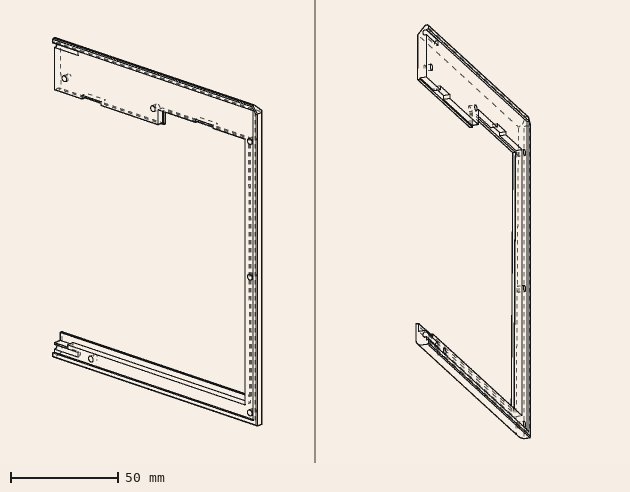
import cadquery as cq

width = 129.0
height = 159.5
back_y_top = 5.5
back_y_bottom = 6.4

top_flat = 1.6
top_bevel_drop = 4.3
bottom_round = 2.7
side_bevel = 2.9
corner_cut_x = 2.9
corner_cut_z = 3.5
rim_chamfer = 0.5

rim_width = 2.2
face_y = 1.1

rail_top_z = 11.0
block_bottom_z = 132.9
block_right_x = 66.2
window_top_z = 139.9
window_right_x = 120.0

lip_thickness = 1.3
side_lip = 0.6
window_lip = 1.1
rail_lip = 2.9
rail_notch_length = 8.3
rail_notch_depth = 1.1
block_notch_start, block_notch_end, block_notch_top = 17.5, 29.5, 135.5
window_notch_start, window_notch_end, window_notch_top = 89.3, 100.3, 142.6

hole_diameter = 2.9
hole_depth = 3.2
low_hole_z = 5.0
high_hole_z = 140.7
side_hole_x = 123.6
block_hole_xs = (6.4, 62.4)
rail_hole_x = 23.1
groove_diameter = 2.5
groove_length = 14.8
groove_axis_y = 1.6
groove_zs = (5.0, 155.9)


def front_box(x0, x1, z0, z1, y0, y1):
    """Axis-aligned box given by its limits."""
    return cq.Workplane("XY").box(x1 - x0, y1 - y0, z1 - z0, centered=False).translate((x0, y0, z0))


def back_y(z, offset=0.0):
    """Y of the leaning back face at height z, moved forward by offset."""
    return back_y_bottom + (back_y_top - back_y_bottom) * z / height - offset


def make_slab():
    """Solid slab with a leaning back and shaped outer edges."""
    bevel_z = height - top_bevel_drop
    slab = (
        cq.Workplane("YZ")
        .moveTo(0, 0)
        .lineTo(back_y(0), 0)
        .lineTo(back_y(bevel_z), bevel_z)
        .lineTo(top_flat, height)
        .lineTo(0, height)
        .close()
        .extrude(width)
    )
    slab = slab.edges("|X").edges("<Z").edges(">Y").fillet(bottom_round)
    bevel = (
        cq.Workplane("XY")
        .polyline([
            (width - side_bevel, back_y_bottom),
            (width, back_y_bottom - side_bevel),
            (width, back_y_bottom),
        ])
        .close()
        .extrude(height)
    )
    corner = (
        cq.Workplane("XZ")
        .polyline([
            (width - corner_cut_x, height),
            (width, height),
            (width, height - corner_cut_z),
        ])
        .close()
        .extrude(-back_y_bottom)
    )
    slab = slab.cut(bevel).cut(corner)
    return slab.faces("<Y").edges("not <X").chamfer(rim_chamfer)


def make_ledge_cutter():
    """Material removed in front of the rear lip, down to a floor parallel to the back."""
    inner_right = window_right_x + side_lip
    block_edge_z = block_bottom_z + side_lip
    rail_floor_z = rail_top_z - rail_lip
    areas = [
        (0, inner_right, rail_floor_z, block_edge_z),
        (block_right_x - side_lip, inner_right, rail_floor_z, window_top_z + window_lip),
        (0, rail_notch_length, rail_floor_z - rail_notch_depth, rail_top_z),
        (block_notch_start, block_notch_end, block_bottom_z, block_notch_top),
        (window_notch_start, window_notch_end, window_top_z, window_notch_top),
    ]
    cutter = cq.Workplane("XY")
    for x0, x1, z0, z1 in areas:
        cutter = cutter.union(front_box(x0, x1, z0, z1, 0, back_y_bottom))
    in_front_of_lip = (
        cq.Workplane("YZ")
        .polyline([
            (0, 0),
            (back_y(0, lip_thickness), 0),
            (back_y(height, lip_thickness), height),
            (0, height),
        ])
        .close()
        .extrude(width)
    )
    return cutter.intersect(in_front_of_lip)


def make_opening():
    """Through opening, stepped around the wide upper block."""
    low_part = front_box(0, window_right_x, rail_top_z, block_bottom_z, 0, back_y_bottom)
    window = front_box(block_right_x, window_right_x, rail_top_z, window_top_z, 0, back_y_bottom)
    return low_part.union(window)


def make_holes():
    """Blind screw holes, drilled from the recessed front face."""
    middle_z = (low_hole_z + high_hole_z) / 2
    points = [(side_hole_x, z) for z in (low_hole_z, middle_z, high_hole_z)]
    points += [(x, high_hole_z) for x in block_hole_xs]
    points.append((rail_hole_x, low_hole_z))
    return (
        cq.Workplane("XZ", origin=(0, face_y, 0))
        .pushPoints(points)
        .circle(hole_diameter / 2)
        .extrude(-hole_depth)
    )


def make_grooves():
    """Round-bottomed grooves running in from the open side."""
    points = [(groove_axis_y, z) for z in groove_zs]
    return cq.Workplane("YZ").pushPoints(points).circle(groove_diameter / 2).extrude(groove_length)


face_recess = front_box(0, width - rim_width, rim_width, height - rim_width, 0, face_y)

result = (
    make_slab()
    .cut(face_recess)
    .cut(make_ledge_cutter())
    .cut(make_opening())
    .cut(make_holes())
    .cut(make_grooves())
)